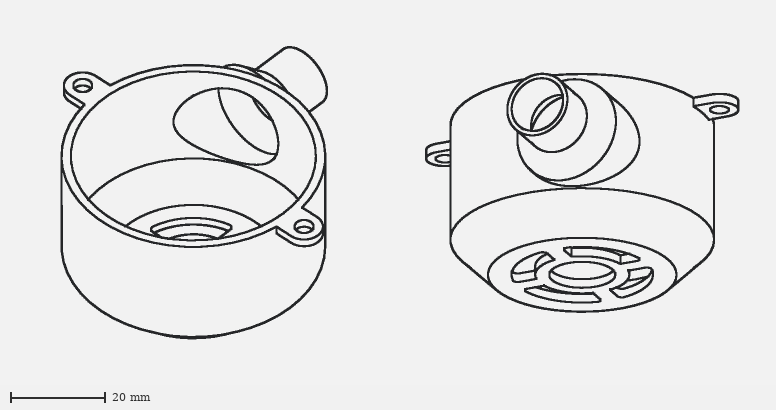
import cadquery as cq

TOTAL_LENGTH = 73.0
TOTAL_HEIGHT = 34.4
CUP_DIAMETER = 56.0
CAVITY_DIAMETER = 52.0
BASE_DIAMETER = 40.0
FLOOR_DIAMETER = 38.0
TAPER_HEIGHT = 8.0
FLOOR_THICKNESS = 2.0
CAVITY_TAPER_TOP = FLOOR_THICKNESS + (CAVITY_DIAMETER - FLOOR_DIAMETER) / 2

CENTER_HOLE_DIAMETER = 14.0
SLOT_INNER_DIAMETER = 20.0
SLOT_OUTER_DIAMETER = 30.0
SPOKE_WIDTH = 4.0
SLOT_CORNER_RADIUS = 1.0

EAR_OFFSET = 32.0
EAR_WIDTH = 8.0
EAR_THICKNESS = 2.0
EAR_HOLE_DIAMETER = 4.0

PIPE_X = -10.0
PIPE_Z = 20.0
PIPE_CONE_START = 30.0
PIPE_CONE_END = 35.05
PIPE_END = TOTAL_LENGTH - CUP_DIAMETER / 2
WIDE_DIAMETER = 23.0
WIDE_BORE = 21.0
NARROW_DIAMETER = 14.0
NARROW_BORE = 12.0


def tapered_cup(bottom_z, taper_top, bottom_diameter, diameter):
    """Solid of revolution with a cone below a cylinder that reaches the rim."""
    profile = [
        (0, bottom_z),
        (bottom_diameter / 2, bottom_z),
        (diameter / 2, taper_top),
        (diameter / 2, TOTAL_HEIGHT),
        (0, TOTAL_HEIGHT),
    ]
    return cq.Workplane("XZ").polyline(profile).close().revolve(360, (0, 0, 0), (0, 1, 0))


def stepped_pipe(wide_diameter, narrow_diameter):
    """Solid pipe form starting at the Y = 0 plane inside the cup."""
    wide_x = PIPE_X + wide_diameter / 2
    narrow_x = PIPE_X + narrow_diameter / 2
    profile = [
        (PIPE_X, 0),
        (wide_x, 0),
        (wide_x, PIPE_CONE_START),
        (narrow_x, PIPE_CONE_END),
        (narrow_x, PIPE_END),
        (PIPE_X, PIPE_END),
    ]
    plane = cq.Workplane("XY").workplane(offset=PIPE_Z)
    return plane.polyline(profile).close().revolve(360, (PIPE_X, 0, 0), (PIPE_X, 1, 0))


def ears():
    """One bar with round ends across the cup; the cavity cut leaves two ears."""
    ear_bottom = cq.Workplane("XY").workplane(offset=TOTAL_HEIGHT - EAR_THICKNESS)
    bar = ear_bottom.slot2D(2 * EAR_OFFSET + EAR_WIDTH, EAR_WIDTH).extrude(EAR_THICKNESS)
    holes = (
        ear_bottom.pushPoints([(-EAR_OFFSET, 0), (EAR_OFFSET, 0)])
        .circle(EAR_HOLE_DIAMETER / 2)
        .extrude(EAR_THICKNESS)
    )
    return bar.cut(holes)


def floor_openings():
    """Center hole and four curved slots separated by spokes."""
    ring = (
        cq.Workplane("XY")
        .circle(SLOT_OUTER_DIAMETER / 2)
        .circle(SLOT_INNER_DIAMETER / 2)
        .extrude(FLOOR_THICKNESS)
    )
    for length, width in [(CUP_DIAMETER, SPOKE_WIDTH), (SPOKE_WIDTH, CUP_DIAMETER)]:
        spoke = cq.Workplane("XY").rect(length, width).extrude(FLOOR_THICKNESS)
        ring = ring.cut(spoke)
    middle_radius = (SLOT_INNER_DIAMETER + SLOT_OUTER_DIAMETER) / 4
    outer_corners = ring.edges("|Z").filter(
        lambda edge: edge.Center().x ** 2 + edge.Center().y ** 2 > middle_radius**2
    )
    slots = outer_corners.fillet(SLOT_CORNER_RADIUS)
    center_hole = cq.Workplane("XY").circle(CENTER_HOLE_DIAMETER / 2).extrude(FLOOR_THICKNESS)
    return slots.union(center_hole)


cavity = tapered_cup(FLOOR_THICKNESS, CAVITY_TAPER_TOP, FLOOR_DIAMETER, CAVITY_DIAMETER)
outer_body = (
    tapered_cup(0, TAPER_HEIGHT, BASE_DIAMETER, CUP_DIAMETER)
    .union(stepped_pipe(WIDE_DIAMETER, NARROW_DIAMETER))
    .union(ears())
)
result = (
    outer_body.cut(cavity)
    .cut(stepped_pipe(WIDE_BORE, NARROW_BORE))
    .cut(floor_openings())
)